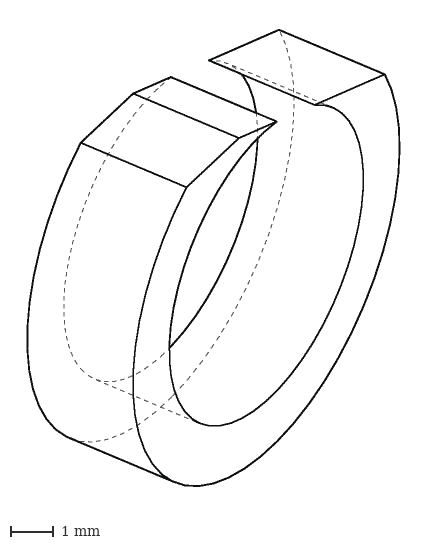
import cadquery as cq

width = 3.0
outer_radius = 5.5
inner_radius = 4.0

long_flat_distance = 3.915
long_flat_tilt = 18.0
short_flat_distance = 4.52
short_flat_tilt = -2.0


def make_ring():
    """Plain ring centred on the origin with its axis along X."""
    return (
        cq.Workplane("YZ")
        .circle(outer_radius)
        .circle(inner_radius)
        .extrude(width / 2, both=True)
    )


def make_flat_cutter(distance, tilt):
    """Block filling everything beyond a flat at the given distance and tilt."""
    block_size = 4 * outer_radius
    return (
        cq.Workplane("XY")
        .box(block_size, block_size, block_size, centered=(True, True, False))
        .translate((0, 0, distance))
        .rotate((0, 0, 0), (1, 0, 0), -tilt)
    )


result = (
    make_ring()
    .cut(make_flat_cutter(long_flat_distance, long_flat_tilt))
    .cut(make_flat_cutter(short_flat_distance, short_flat_tilt))
)